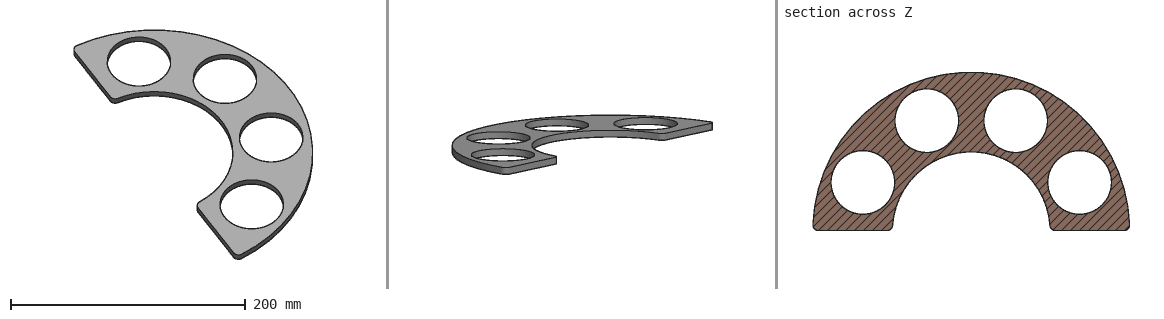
import cadquery as cq
import math

outer_radius = 135.0
inner_radius = 67.0
thickness = 6.0
corner_radius = 5.0
hole_diameter = 54.0
hole_count = 4
hole_spacing_angle = 44.0

hole_circle_radius = (outer_radius + inner_radius) / 2
first_hole_angle = 90.0 - hole_spacing_angle * (hole_count - 1) / 2


def half_ring():
    """Half-ring plate with its straight ends on the X axis and rounded corners."""
    outline = (
        cq.Workplane("XY")
        .moveTo(-outer_radius, 0)
        .threePointArc((0, outer_radius), (outer_radius, 0))
        .lineTo(inner_radius, 0)
        .threePointArc((0, inner_radius), (-inner_radius, 0))
        .close()
    )
    return outline.extrude(thickness).edges("|Z").fillet(corner_radius)


def hole_centers():
    """Centers of the large holes along the middle of the band."""
    centers = []
    for index in range(hole_count):
        angle = math.radians(first_hole_angle + index * hole_spacing_angle)
        centers.append((hole_circle_radius * math.cos(angle), hole_circle_radius * math.sin(angle)))
    return centers


def large_holes():
    """Cylinders that cut the holes through the full thickness."""
    return cq.Workplane("XY").pushPoints(hole_centers()).circle(hole_diameter / 2).extrude(thickness)


result = half_ring().cut(large_holes())